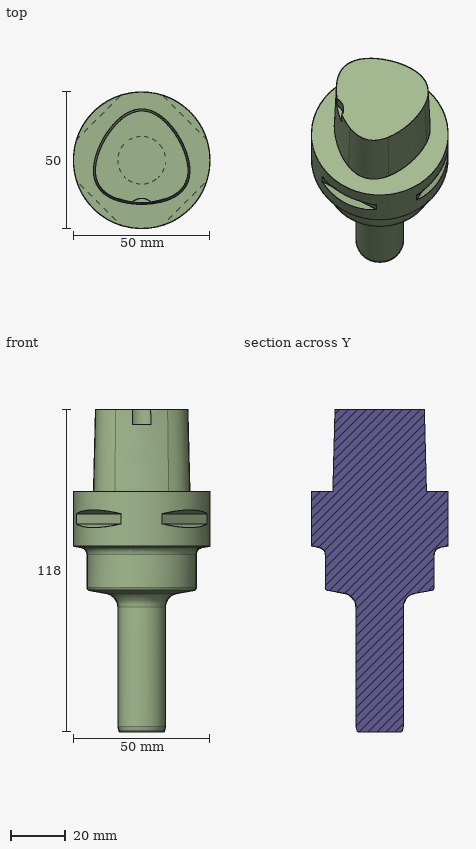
import cadquery as cq
import math

total_height = 118.0
taper_height = 30.0
collar_height = 20.1
collar_top = total_height - taper_height
collar_bottom = collar_top - collar_height

collar_radius = 50.0 / 2
body_radius = 40.0 / 2
shank_radius = 17.5 / 2
body_edge_height = 51.9
body_edge_round = 1.2
collar_fillet = 2.5
shank_fillet = 5.0
shoulder_slope = math.radians(10)
tip_length = 2.0
tip_inset = 0.5
tip_round = 0.7

base_mean_radius = 17.5
lobe_offset = 1.3
stretch_count = 6
stretch_steps = 8
diameter_taper = 1 / 20
top_mean_radius = base_mean_radius - taper_height * diameter_taper / 2

notch_radius = 4.7
notch_inner_reach = 13.9
notch_depth = 5.5

groove_count = 4
groove_floor_distance = 22.2
groove_floor_width = 3.7
groove_mouth_width = 6.5
groove_height = collar_top - collar_height / 2


def round_edge(solid, height, radius, size):
    """Fillet the circular edge of the given radius at the given height."""
    margin = 0.1
    circles = [e for e in solid.edges("%CIRCLE").vals()
               if abs(e.radius() - radius) < margin and abs(e.Center().z - height) < margin]
    return solid.newObject(circles).fillet(size)


def turned_body():
    """Shank, body and collar as one revolved profile with conical shoulders."""
    slope = math.tan(shoulder_slope)
    body_corner_z = collar_bottom - (collar_radius - body_radius) * slope
    shank_corner_z = body_edge_height - (body_radius - shank_radius) * slope
    profile = (
        cq.Workplane("XZ")
        .moveTo(0, 0)
        .lineTo(shank_radius - tip_inset, 0)
        .lineTo(shank_radius, tip_length)
        .lineTo(shank_radius, shank_corner_z)
        .lineTo(body_radius, body_edge_height)
        .lineTo(body_radius, body_corner_z)
        .lineTo(collar_radius, collar_bottom)
        .lineTo(collar_radius, collar_top)
        .lineTo(0, collar_top)
        .close()
    )
    body = profile.revolve(360, (0, 0, 0), (0, 1, 0))
    body = round_edge(body, 0, shank_radius - tip_inset, tip_round)
    body = round_edge(body, shank_corner_z, shank_radius, shank_fillet)
    body = round_edge(body, body_edge_height, body_radius, body_edge_round)
    return round_edge(body, body_corner_z, body_radius, collar_fillet)


def lobed_wire(mean_radius, height):
    """Closed three-lobed curve with one lobe toward +Y, in six equal stretches."""
    def point(degrees):
        angle = math.radians(degrees)
        return cq.Vector(
            -mean_radius * math.sin(angle) + lobe_offset * math.sin(2 * angle),
            mean_radius * math.cos(angle) + lobe_offset * math.cos(2 * angle),
            height,
        )

    stretch_angle = 360 / stretch_count
    step_angle = stretch_angle / stretch_steps
    edges = []
    for stretch in range(stretch_count):
        start_angle = (stretch + 0.5) * stretch_angle
        points = [point(start_angle + step * step_angle) for step in range(stretch_steps + 1)]
        edges.append(cq.Edge.makeSpline(points))
    return cq.Wire.assembleEdges(edges)


def lobed_taper():
    base = lobed_wire(base_mean_radius, collar_top)
    top = lobed_wire(top_mean_radius, total_height)
    return cq.Workplane(cq.Solid.makeLoft([base, top], True))


def taper_notch():
    return (
        cq.Workplane("XY")
        .workplane(offset=total_height - notch_depth)
        .center(0, -notch_inner_reach - notch_radius)
        .circle(notch_radius)
        .extrude(notch_depth)
    )


def gripper_groove(angle):
    """Straight groove with sloping sides, facing the given direction around Z."""
    floor_half = groove_floor_width / 2
    mouth_half = groove_mouth_width / 2
    section = [
        (groove_floor_distance, groove_height - floor_half),
        (collar_radius, groove_height - mouth_half),
        (collar_radius, groove_height + mouth_half),
        (groove_floor_distance, groove_height + floor_half),
    ]
    groove = cq.Workplane("XZ").polyline(section).close().extrude(collar_radius, both=True)
    return groove.rotate((0, 0, 0), (0, 0, 1), angle)


result = turned_body().union(lobed_taper()).cut(taper_notch())
groove_spacing = 360 / groove_count
for index in range(groove_count):
    result = result.cut(gripper_groove((index + 0.5) * groove_spacing))